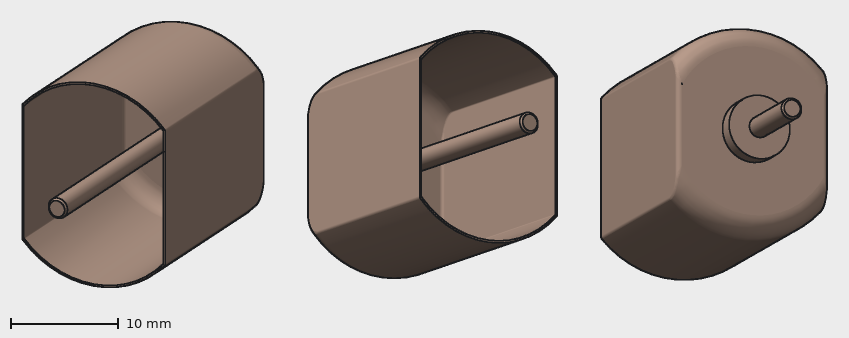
import cadquery as cq

can_diameter = 20.0
can_width = 15.0
can_length = 20.0
wall = 0.2
round_edge_radius = 2.0
flat_edge_radius = 0.5
corner_radius = 0.38

bushing_diameter = 6.0
bushing_length = 1.73

shaft_diameter = 2.0
shaft_length = 37.6
shaft_front_overhang = 7.3
shaft_end_chamfer = 0.2


def axial_cylinder(diameter, start, length):
    """Cylinder on the motor axis, from y = start towards +Y."""
    base = cq.Plane(origin=(0, start, 0), xDir=(1, 0, 0), normal=(0, 1, 0))
    return cq.Workplane(base).circle(diameter / 2).extrude(length)


def can_form(inset):
    """Double-flat cylinder with a rounded closed end, set in from the can surface by inset."""
    end = can_length - inset
    round_part = axial_cylinder(can_diameter - 2 * inset, 0, end)
    round_part = round_part.faces(">Y").edges().fillet(round_edge_radius - inset)
    flat_part = cq.Workplane("XY").box(can_width - 2 * inset, end, can_diameter).translate((0, end / 2, 0))
    flat_part = flat_part.faces(">Y").edges("|Z").fillet(flat_edge_radius - inset)
    return round_part.intersect(flat_part).edges("|Y").fillet(corner_radius - inset)


def make_can():
    """Thin drawn can, open at y = 0, with a shaft hole in its end wall."""
    shaft_hole = axial_cylinder(shaft_diameter, 0, can_length)
    return can_form(0).cut(can_form(wall)).cut(shaft_hole)


def make_bushing():
    """Ring against the closed end of the can, around the shaft."""
    bore = axial_cylinder(shaft_diameter, can_length, bushing_length)
    return axial_cylinder(bushing_diameter, can_length, bushing_length).cut(bore)


def make_shaft():
    """Straight shaft through the can and bushing, chamfered at both ends."""
    shaft = axial_cylinder(shaft_diameter, -shaft_front_overhang, shaft_length)
    return shaft.faces("<Y or >Y").edges().chamfer(shaft_end_chamfer)


can = make_can()
bushing = make_bushing()
shaft = make_shaft()

result = cq.Compound.makeCompound([can.val(), bushing.val(), shaft.val()])